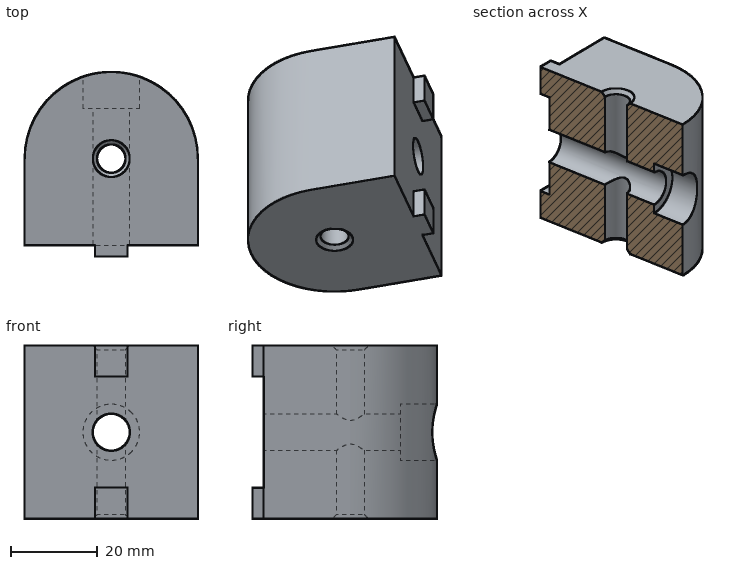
import cadquery as cq

width = 40.0
height = 40.0
back_radius = width / 2
front_depth = 20.0

key_width = 7.5
key_height = 7.2
key_projection = 2.6

bolt_hole_diameter = 8.5
head_diameter = 13.0
head_depth = 8.5

vertical_hole_diameter = 6.5
countersink_diameter = 8.5
countersink_depth = (countersink_diameter - vertical_hole_diameter) / 2


def make_body():
    """D-shaped block, centred on the origin in Z."""
    return (
        cq.Workplane("XY", origin=(0, 0, -height / 2))
        .moveTo(-back_radius, -front_depth)
        .lineTo(back_radius, -front_depth)
        .lineTo(back_radius, 0)
        .threePointArc((0, back_radius), (-back_radius, 0))
        .close()
        .extrude(height)
    )


def make_key(side):
    """Locating key at the top (side = 1) or bottom (side = -1) of the front face."""
    center_y = -front_depth - key_projection / 2
    center_z = side * (height - key_height) / 2
    return cq.Workplane("XY").box(key_width, key_projection, key_height).translate((0, center_y, center_z))


def make_bolt_hole():
    """Cutter for the horizontal hole and its counterbore, entering from the back."""
    back_plane = cq.Workplane("XZ", origin=(0, back_radius, 0))
    through = back_plane.circle(bolt_hole_diameter / 2).extrude(back_radius + front_depth)
    counterbore = back_plane.circle(head_diameter / 2).extrude(head_depth)
    return through.union(counterbore)


def make_vertical_hole():
    """Cutter for the vertical hole with a 45 degree countersink at each end."""
    half_height = height / 2
    hole_radius = vertical_hole_diameter / 2
    countersink_radius = countersink_diameter / 2
    return (
        cq.Workplane("XZ")
        .moveTo(0, -half_height)
        .lineTo(countersink_radius, -half_height)
        .lineTo(hole_radius, -half_height + countersink_depth)
        .lineTo(hole_radius, half_height - countersink_depth)
        .lineTo(countersink_radius, half_height)
        .lineTo(0, half_height)
        .close()
        .revolve(360, (0, 0, 0), (0, 1, 0))
    )


result = make_body()
for side in (1, -1):
    result = result.union(make_key(side))
result = result.cut(make_bolt_hole()).cut(make_vertical_hole())